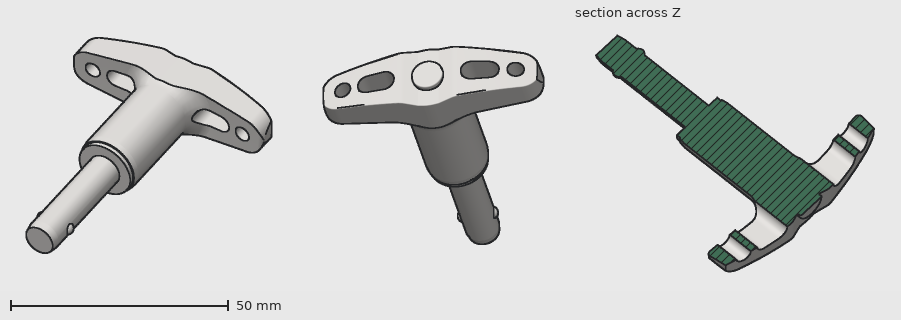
import cadquery as cq
import math


shank_radius = 4.0
shank_length = 28.2
tip_radius = 3.63
tip_length = 2.0
ball_radius = 1.5
ball_offset = 3.25
ball_depth = 21.3

barrel_radius = 7.42
collar_radius = 7.2
collar_top = 2.75
shoulder_radius = 6.9
shoulder_height = 1.2

button_radius = 3.65
overall_length = 64.0
button_top = overall_length - shank_length
button_edge_radius = 0.35

grip_length = 51.5
hub_radius = 7.895
grip_end_radius = 4.9
grip_half_length = grip_length / 2
grip_end_center = grip_half_length - grip_end_radius

grip_tip_x = 25.15
grip_tip_y = 32.15
grip_heel_y = 26.8
grip_root_y = 27.55
grip_heel_radius = 1.0
crown_x = 7.0
crown_y = 35.55
crown_mid_x = 15.5
crown_mid_y = 34.4
dip_rim_x = 5.2
dip_rim_y = 35.3
dip_floor_x = 2.4
dip_floor_y = 34.45
back_edge_radius = 0.25

blend_radius = 4.25
blend_outer_radius = barrel_radius + blend_radius

cord_hole_radius = 1.9
cord_hole_x = 20.3
slot_inner_x = 7.82
slot_outer_x = 16.57
slot_inner_radius = 2.45
slot_outer_radius = 2.25


def make_grip_outline():
    """Outline in XZ: hub arc and end arcs joined by tangent lines, extruded along Y."""
    slope = math.asin((hub_radius - grip_end_radius) / grip_end_center)
    hub_x = hub_radius * math.sin(slope)
    hub_z = hub_radius * math.cos(slope)
    end_x = grip_end_center + grip_end_radius * math.sin(slope)
    end_z = grip_end_radius * math.cos(slope)
    return (
        cq.Workplane("XZ")
        .moveTo(-hub_x, hub_z)
        .threePointArc((0, hub_radius), (hub_x, hub_z))
        .lineTo(end_x, end_z)
        .threePointArc((grip_half_length, 0), (end_x, -end_z))
        .lineTo(hub_x, -hub_z)
        .threePointArc((0, -hub_radius), (-hub_x, -hub_z))
        .lineTo(-end_x, -end_z)
        .threePointArc((-grip_half_length, 0), (-end_x, end_z))
        .close()
        .extrude(-button_top)
    )


def make_crown():
    """Block bounded at +Y by the crowned back of the grip and its central dip."""
    half = (
        cq.Workplane("XY")
        .moveTo(0, 0)
        .lineTo(grip_half_length, 0)
        .lineTo(grip_half_length, grip_tip_y)
        .lineTo(grip_tip_x, grip_tip_y)
        .threePointArc((crown_mid_x, crown_mid_y), (crown_x, crown_y))
        .tangentArcPoint((dip_rim_x, dip_rim_y), relative=False)
        .lineTo(dip_floor_x, dip_floor_y)
        .lineTo(0, dip_floor_y)
        .close()
        .extrude(hub_radius, both=True)
    )
    return half.union(half.mirror("YZ"))


def make_underside():
    """Turned envelope: barrel flare, conical underside, rounded heel and tapered rim."""
    flare_start = grip_root_y - blend_radius
    heel_center_x = grip_half_length - grip_heel_radius
    return (
        cq.Workplane("XY")
        .moveTo(0, flare_start)
        .lineTo(barrel_radius, flare_start)
        .radiusArc((blend_outer_radius, grip_root_y), blend_radius)
        .lineTo(heel_center_x, grip_heel_y)
        .radiusArc((grip_half_length, grip_heel_y + grip_heel_radius), -grip_heel_radius)
        .lineTo(grip_tip_x, grip_tip_y)
        .lineTo(grip_tip_x, button_top)
        .lineTo(0, button_top)
        .close()
        .revolve(360, (0, 0), (0, 1))
    )


def make_slot(side):
    """Finger slot through the grip: two round ends joined by tangent walls."""
    inner_center = slot_inner_x + slot_inner_radius
    outer_center = slot_outer_x - slot_outer_radius
    taper = math.asin((slot_inner_radius - slot_outer_radius) / (outer_center - inner_center))
    inner_x = side * (inner_center + slot_inner_radius * math.sin(taper))
    inner_z = slot_inner_radius * math.cos(taper)
    outer_x = side * (outer_center + slot_outer_radius * math.sin(taper))
    outer_z = slot_outer_radius * math.cos(taper)
    return (
        cq.Workplane("XZ")
        .moveTo(inner_x, inner_z)
        .lineTo(outer_x, outer_z)
        .threePointArc((side * slot_outer_x, 0), (outer_x, -outer_z))
        .lineTo(inner_x, -inner_z)
        .threePointArc((side * slot_inner_x, 0), (inner_x, inner_z))
        .close()
        .extrude(-button_top)
    )


def make_cord_hole(side):
    """Round hole through the grip near one end."""
    return (
        cq.Workplane("XZ")
        .center(side * cord_hole_x, 0)
        .circle(cord_hole_radius)
        .extrude(-button_top)
    )


def make_grip():
    """Grip with rounded back edges, the turned underside and its openings."""
    grip = make_crown().intersect(make_grip_outline())
    back_zone = cq.selectors.BoxSelector(
        (-grip_half_length, grip_heel_y, -hub_radius),
        (grip_half_length, button_top, hub_radius),
    )
    grip = grip.edges(back_zone).edges("not (|Y or |Z)").fillet(back_edge_radius)
    grip = grip.intersect(make_underside())
    for side in (-1, 1):
        grip = grip.cut(make_slot(side)).cut(make_cord_hole(side))
    return grip


def make_turned_body():
    """Shank, shoulder, collar, barrel and button, turned about the pin axis."""
    return (
        cq.Workplane("XY")
        .moveTo(0, -shank_length)
        .lineTo(tip_radius, -shank_length)
        .lineTo(shank_radius, tip_length - shank_length)
        .lineTo(shank_radius, 0)
        .lineTo(shoulder_radius, 0)
        .lineTo(shoulder_radius, shoulder_height)
        .lineTo(collar_radius, shoulder_height)
        .lineTo(barrel_radius, collar_top)
        .lineTo(barrel_radius, grip_root_y)
        .lineTo(button_radius, grip_root_y)
        .lineTo(button_radius, button_top - button_edge_radius)
        .radiusArc((button_radius - button_edge_radius, button_top), -button_edge_radius)
        .lineTo(0, button_top)
        .close()
        .revolve(360, (0, 0), (0, 1))
    )


def make_ball(side):
    """Locking ball standing out of one side of the shank."""
    center = (side * ball_offset, -ball_depth, 0)
    return cq.Workplane("XY").sphere(ball_radius).translate(center)


result = make_grip().union(make_turned_body())
for side in (-1, 1):
    result = result.union(make_ball(side))